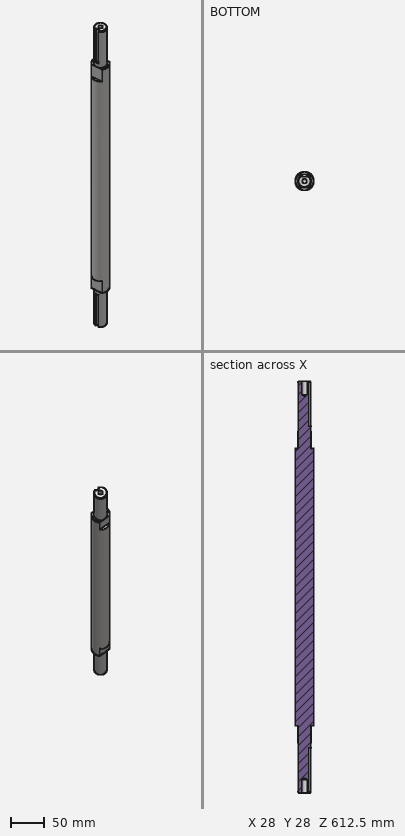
import cadquery as cq
import math

total_length = 612.5
body_diameter = 28.0
shoulder_chamfer_radial = 1.0
shoulder_chamfer_axial = 0.5

journal_diameter = 20.0
journal_length = 75.0
lead_in_axial = 2.0
lead_in_angle = 30.0
lead_in_radial = lead_in_axial * math.tan(math.radians(lead_in_angle))

flat_length = 25.0
across_flats = journal_diameter

keyway_width = 6.0
keyway_depth = 3.5
keyway_length = 67.0

end_hole_diameter = 6.8
end_hole_depth = 20.0
drill_point_angle = 118.0

half_length = total_length / 2
shoulder_z = half_length - journal_length


def stepped_shaft():
    """Revolved shaft with a journal at each end; the profile is symmetric about mid-length."""
    body_radius = body_diameter / 2
    journal_radius = journal_diameter / 2
    upper_profile = [
        (body_radius, shoulder_z - shoulder_chamfer_axial),
        (body_radius - shoulder_chamfer_radial, shoulder_z),
        (journal_radius, shoulder_z),
        (journal_radius, half_length - lead_in_axial),
        (journal_radius - lead_in_radial, half_length),
        (0, half_length),
    ]
    lower_profile = [(radius, -z) for radius, z in reversed(upper_profile)]
    return (
        cq.Workplane("XZ")
        .polyline(upper_profile + lower_profile)
        .close()
        .revolve(360, (0, 0, 0), (0, 1, 0))
    )


def upper_flats():
    """Two blocks that leave parallel flats on the body below the upper shoulder."""
    flat_depth = (body_diameter - across_flats) / 2
    flat_centre_y = (across_flats + flat_depth) / 2
    flat_centre_z = shoulder_z - flat_length / 2
    return (
        cq.Workplane("XY")
        .pushPoints([(0, -flat_centre_y), (0, flat_centre_y)])
        .box(body_diameter, flat_depth, flat_length)
        .translate((0, 0, flat_centre_z))
    )


def upper_keyway():
    """Block that cuts the keyway in the upper journal."""
    keyway_centre_y = -(journal_diameter - keyway_depth) / 2
    keyway_centre_z = half_length - keyway_length / 2
    return (
        cq.Workplane("XY")
        .box(keyway_width, keyway_depth, keyway_length)
        .translate((0, keyway_centre_y, keyway_centre_z))
    )


def upper_end_hole():
    """Revolved cutter for the drilled hole in the upper end face."""
    hole_radius = end_hole_diameter / 2
    tip_length = hole_radius / math.tan(math.radians(drill_point_angle / 2))
    hole_floor_z = half_length - end_hole_depth
    return (
        cq.Workplane("XZ")
        .moveTo(0, half_length)
        .lineTo(hole_radius, half_length)
        .lineTo(hole_radius, hole_floor_z)
        .lineTo(0, hole_floor_z - tip_length)
        .close()
        .revolve(360, (0, 0, 0), (0, 1, 0))
    )


result = stepped_shaft()
for cutter in (upper_flats(), upper_keyway(), upper_end_hole()):
    result = result.cut(cutter).cut(cutter.mirror("XY"))